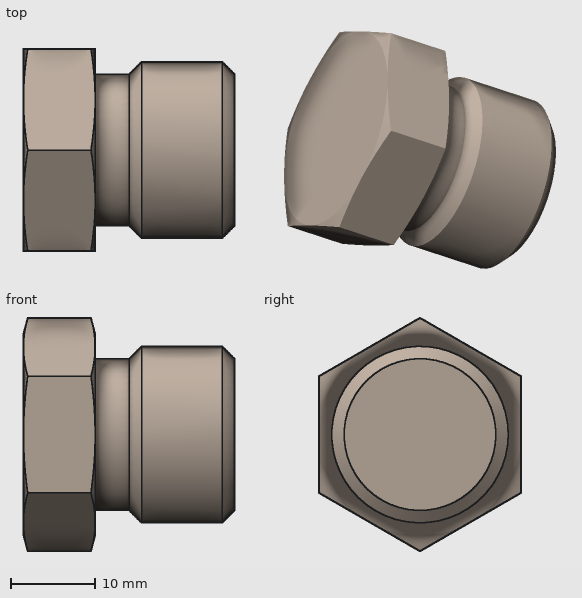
import cadquery as cq
import math

total_length = 25.05
head_length = 8.5
neck_length = 4.05

side_count = 6
corner_diameter = 27.7
flat_distance = corner_diameter * math.cos(math.pi / side_count)
corner_direction = 90.0
head_bevel_angle = 15.0

neck_diameter = 18.0
shank_diameter = 20.95
shank_chamfer = (shank_diameter - neck_diameter) / 2


def make_head():
    """Hexagonal prism with both ends bevelled by a cone that touches the flats at each face."""
    prism = (
        cq.Workplane("YZ")
        .polygon(side_count, corner_diameter)
        .extrude(head_length)
        .rotate((0, 0, 0), (1, 0, 0), corner_direction)
    )
    face_radius = flat_distance / 2
    corner_radius = corner_diameter / 2
    bevel_depth = (corner_radius - face_radius) * math.tan(math.radians(head_bevel_angle))
    envelope = (
        cq.Workplane("XY")
        .moveTo(0, 0)
        .lineTo(0, face_radius)
        .lineTo(bevel_depth, corner_radius)
        .lineTo(head_length - bevel_depth, corner_radius)
        .lineTo(head_length, face_radius)
        .lineTo(head_length, 0)
        .close()
        .revolve(360, (0, 0, 0), (1, 0, 0))
    )
    return prism.intersect(envelope)


def make_shank():
    """Neck and larger plug body, turned about X, with equal chamfers at both body ends."""
    neck_radius = neck_diameter / 2
    shank_radius = shank_diameter / 2
    neck_end = head_length + neck_length
    return (
        cq.Workplane("XY")
        .moveTo(head_length, 0)
        .lineTo(head_length, neck_radius)
        .lineTo(neck_end, neck_radius)
        .lineTo(neck_end + shank_chamfer, shank_radius)
        .lineTo(total_length - shank_chamfer, shank_radius)
        .lineTo(total_length, neck_radius)
        .lineTo(total_length, 0)
        .close()
        .revolve(360, (0, 0, 0), (1, 0, 0))
    )


result = make_head().union(make_shank())